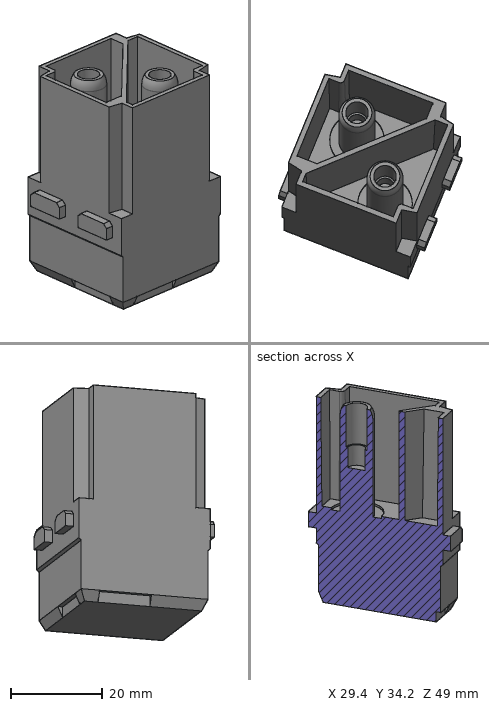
import cadquery as cq

height = 49.0
width_x = 29.4
shroud_y = 30.5
base_y = width_x
half_x = width_x / 2
half_y = shroud_y / 2

base_step_z = 14.0
base_step = (shroud_y - base_y) / 2
base_chamfer_height = 2.45
base_chamfer_inset = 1.15
relief_width = 12.0
relief_offset = 4.4

notch_floor_z = 23.1
notch_y = 3.4
notch_x_outer = 3.9
notch_x_inner = 3.3

lug_bottom_z = 17.5
lug_height = 3.7
lug_depth = 1.85
lug_x = 7.4
lug_chamfer_height = 0.95
front_lug_width = 9.0
front_lug_chamfer = 0.95
rear_lug_width = 7.2
rear_lug_chamfer = 1.2

side_wall = 1.15
end_wall = 1.2
chamber_floor_z = notch_floor_z
chamber_draft = 0.6
chamber_fillet = 0.95
chamber_x = half_x - side_wall
chamber_y = half_y - end_wall
chamber_step_x = 10.2
chamber_step_y = 10.75
upper_diagonal = 0.9
lower_diagonal = 0.65
lower_chamber_top_y = 9.2
lower_chamber_right_x = 8.65

contact_position = 5.55
contact_top_z = 48.05
contact_diameter = 8.0
contact_tip_diameter = 6.5
contact_bore_diameter = 4.9
contact_bore_depth = 9.8
contact_inner_bore_diameter = 4.0
contact_inner_bore_depth = 4.9
contact_recess_diameter = 12.0
contact_recess_depth = 0.5


def make_base():
    """Square base with a tapered foot and a sloping ledge under the shroud."""
    foot_size = width_x - 2 * base_chamfer_inset
    foot = (
        cq.Workplane("XY")
        .rect(foot_size, foot_size)
        .workplane(offset=base_chamfer_height)
        .rect(width_x, base_y)
        .loft(ruled=True)
    )
    ledge_bottom_z = base_step_z - base_step
    block = (
        cq.Workplane("XY", origin=(0, 0, base_chamfer_height))
        .rect(width_x, base_y)
        .extrude(ledge_bottom_z - base_chamfer_height)
    )
    ledge = (
        cq.Workplane("XY", origin=(0, 0, ledge_bottom_z))
        .rect(width_x, base_y)
        .workplane(offset=base_step)
        .rect(width_x, shroud_y)
        .loft(ruled=True)
    )
    return foot.union(block).union(ledge)


def make_reliefs():
    """Upright flats cut into the bottom chamfer, one per side of the square base."""
    side_center = -(half_x - base_chamfer_inset / 2)
    relief = cq.Workplane("XY").box(
        relief_width, base_chamfer_inset, base_chamfer_height, centered=(True, True, False)
    )
    front = relief.translate((relief_offset, side_center, 0))
    left = relief.rotate((0, 0, 0), (0, 0, 1), 90).translate((side_center, relief_offset, 0))
    pair = front.union(left)
    return pair.union(pair.rotate((0, 0, 0), (0, 0, 1), 180))


def make_shroud():
    """Upper block with a notch running down each vertical corner."""
    shroud = (
        cq.Workplane("XY", origin=(0, 0, base_step_z))
        .rect(width_x, shroud_y)
        .extrude(height - base_step_z)
    )
    notch = (
        cq.Workplane("XY", origin=(0, 0, notch_floor_z))
        .polyline([
            (-half_x, -half_y),
            (-half_x + notch_x_outer, -half_y),
            (-half_x + notch_x_inner, -half_y + notch_y),
            (-half_x, -half_y + notch_y),
        ])
        .close()
        .extrude(height - notch_floor_z)
    )
    front_notches = notch.union(notch.mirror("YZ"))
    return shroud.cut(front_notches).cut(front_notches.mirror("XZ"))


def make_lug(x, width, chamfer):
    """Lug on the front Y face, with its two top corners bevelled."""
    top_z = lug_bottom_z + lug_height
    shoulder_z = top_z - lug_chamfer_height
    return (
        cq.Workplane("XZ", origin=(x, -half_y, 0))
        .polyline([
            (-width / 2, lug_bottom_z),
            (width / 2, lug_bottom_z),
            (width / 2, shoulder_z),
            (width / 2 - chamfer, top_z),
            (-width / 2 + chamfer, top_z),
            (-width / 2, shoulder_z),
        ])
        .close()
        .extrude(lug_depth)
    )


def make_chamber(left_x, lower_y, diagonal):
    """Drafted chamber on the +X +Y side; its face along x + y = diagonal stays upright."""
    depth = height - chamber_floor_z
    chamber = (
        cq.Workplane("XY", origin=(0, 0, height))
        .moveTo(left_x, lower_y)
        .lineTo(chamber_x, lower_y)
        .lineTo(chamber_x, chamber_step_y)
        .lineTo(chamber_step_x + chamber_fillet, chamber_step_y)
        .radiusArc((chamber_step_x, chamber_step_y + chamber_fillet), chamber_fillet)
        .lineTo(chamber_step_x, chamber_y)
        .lineTo(left_x, chamber_y)
        .close()
        .extrude(-depth, taper=chamber_draft)
    )
    reach = 2 * width_x
    diagonal_side = (
        cq.Workplane("XY", origin=(0, 0, chamber_floor_z))
        .polyline([
            (-reach, diagonal + reach),
            (reach, diagonal - reach),
            (reach, reach),
        ])
        .close()
        .extrude(depth)
    )
    return chamber.intersect(diagonal_side)


def make_contact(position):
    """Socket contact with a spherical shoulder, standing in a round recess."""
    radius = contact_diameter / 2
    tip_radius = contact_tip_diameter / 2
    sphere_z = contact_top_z - (radius**2 - tip_radius**2) ** 0.5
    recess_floor_z = chamber_floor_z - contact_recess_depth
    barrel = (
        cq.Workplane("XY", origin=(position, position, recess_floor_z))
        .circle(radius)
        .extrude(sphere_z - recess_floor_z)
    )
    dome = cq.Workplane("XY", origin=(position, position, sphere_z)).sphere(radius)
    below_tip = (
        cq.Workplane("XY", origin=(position, position, recess_floor_z))
        .circle(radius)
        .extrude(contact_top_z - recess_floor_z)
    )
    bore = (
        cq.Workplane("XY", origin=(position, position, contact_top_z))
        .circle(contact_bore_diameter / 2)
        .extrude(-contact_bore_depth)
        .faces("<Z")
        .workplane()
        .circle(contact_inner_bore_diameter / 2)
        .extrude(contact_inner_bore_depth)
    )
    return barrel.union(dome).intersect(below_tip).cut(bore)


def make_recess(position):
    """Round recess in the chamber floor around a contact."""
    return (
        cq.Workplane("XY", origin=(position, position, chamber_floor_z))
        .circle(contact_recess_diameter / 2)
        .extrude(-contact_recess_depth)
    )


result = make_base().cut(make_reliefs()).union(make_shroud())

for lug_center in (-lug_x, lug_x):
    rear_lug = make_lug(lug_center, rear_lug_width, rear_lug_chamfer).mirror("XZ")
    result = result.union(make_lug(lug_center, front_lug_width, front_lug_chamfer)).union(rear_lug)

upper_chamber = make_chamber(-chamber_step_x, -chamber_step_y, upper_diagonal)
lower_chamber = make_chamber(-lower_chamber_right_x, -lower_chamber_top_y, lower_diagonal)
lower_chamber = lower_chamber.rotate((0, 0, 0), (0, 0, 1), 180)
result = result.cut(upper_chamber).cut(lower_chamber)

for contact_center in (-contact_position, contact_position):
    result = result.cut(make_recess(contact_center)).union(make_contact(contact_center))